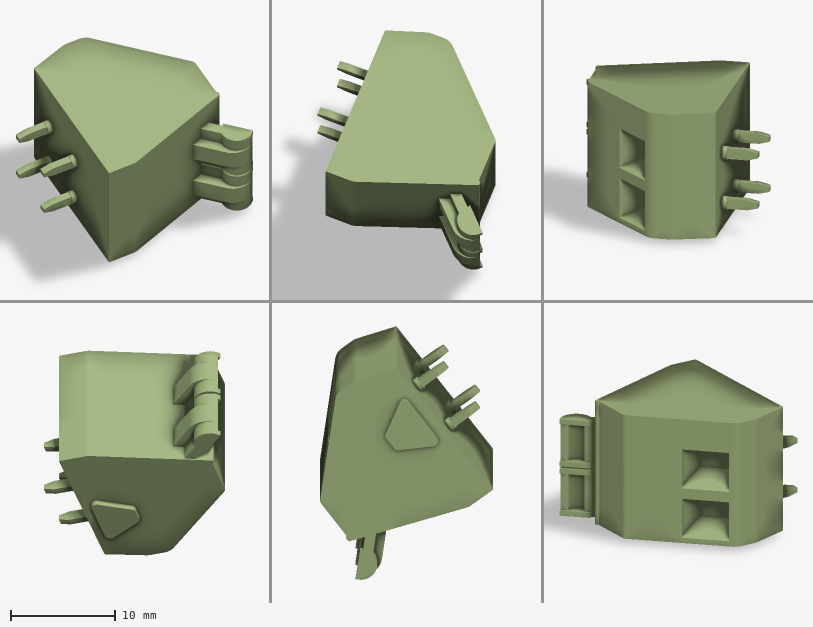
import cadquery as cq
import math


overall_length = 19.5

pitch = 5.07
upper_height = 7.62
terminal_center = pitch / 2

housing_width = 16.83
housing_top = 14.04
foot_inset = 1.36
left_low = 4.0
left_high = 6.2
right_low = 2.89
right_lean = math.radians(20)
bump_height = 0.2
bump_left = 12.2
large_radius = 1.5
slope_top_radius = 0.5
bump_radius = 0.2

first_pin_x = 4.65
collar_length = 0.5
collar_diameter = 1.3
pin_width = 0.75
pin_depth = 1.01
pin_tip_depth = 0.5
pin_taper = 1.01

slope_v = left_high / math.sqrt(2)

funnel_start = 5.15
funnel_length = 4.62
funnel_depth = 3.45
funnel_height = 4.0
funnel_lip = 0.53
funnel_lean = math.radians(20)
funnel_bottom_inset = 1.01
funnel_top_inset = 0.47

lever_root = 15.6
lever_end = 22.75
lever_width = 4.84
lever_top = -0.43
lever_bottom = -1.42
pad_radius = 1.56
cheek_start = 19.73
cheek_rise = 0.3
cheek_thickness = 0.5
groove_radius = 0.8
rib_bottom = -2.42
rib_radius = 1.97
rib_width = 2.03

lever_tip_y = (lever_end + lever_top + cheek_rise) / math.sqrt(2)
pin_end = overall_length - lever_tip_y

key_height = 0.5
key_center_x = 7.02
key_front = 1.05
key_back = 4.97
key_front_width = 6.32
key_side_angle = math.radians(60)
key_radius = 0.53


def tilted_plane(z):
    """Plane at height z with local axes u and v."""
    return cq.Workplane(cq.Plane(origin=(0, 0, z), xDir=(1, 1, 0), normal=(0, 0, 1)))


def right_wall_x(y):
    """X of the leaning right wall at a given Y."""
    return housing_width - (y - right_low) * math.tan(right_lean)


def round_upright_edges(solid, rounded_corners, z):
    """Fillet the upright edge at each (x, y) corner, z being half way up the edge."""
    for (x, y), radius in rounded_corners:
        solid = solid.edges(cq.selectors.NearestToPointSelector((x, y, z))).fillet(radius)
    return solid


def make_housing(base, height):
    left_low_corner = (0, left_low)
    left_high_corner = (0, left_high)
    slope_top = (housing_top - left_high, housing_top)
    bump_top = housing_top + bump_height
    bump_left_corner = (bump_left + bump_height, bump_top)
    bump_right_corner = (right_wall_x(bump_top), bump_top)
    right_corner = (housing_width, right_low)
    outline = [
        (foot_inset, 0),
        left_low_corner,
        left_high_corner,
        slope_top,
        (bump_left, housing_top),
        bump_left_corner,
        bump_right_corner,
        right_corner,
        (housing_width, 0),
    ]
    block = cq.Workplane().workplane(offset=base).polyline(outline).close().extrude(height)
    rounded_corners = [
        (left_low_corner, large_radius),
        (left_high_corner, large_radius),
        (slope_top, slope_top_radius),
        (bump_right_corner, bump_radius),
        (right_corner, large_radius),
    ]
    return round_upright_edges(block, rounded_corners, base + height / 2)


def make_funnel(center_z):
    """Tapered wire entry, as the solid to be cut from the housing."""
    bottom_z = center_z - funnel_height / 2
    top_z = center_z + funnel_height / 2
    floor_v = slope_v - funnel_depth
    mouth_end = funnel_start + funnel_length
    floor_end = mouth_end - (funnel_depth - funnel_lip) * math.tan(funnel_lean)
    side_profile = [
        (funnel_start, slope_v),
        (mouth_end, slope_v),
        (mouth_end, slope_v - funnel_lip),
        (floor_end, floor_v),
        (funnel_start, floor_v),
    ]
    side = tilted_plane(bottom_z).polyline(side_profile).close().extrude(funnel_height)

    across = cq.Plane(origin=(0, 0, 0), xDir=(-1, 1, 0), normal=(1, 1, 0))
    taper_profile = [
        (slope_v, bottom_z),
        (slope_v, top_z),
        (floor_v, top_z - funnel_top_inset),
        (floor_v, bottom_z + funnel_bottom_inset),
    ]
    taper = cq.Workplane(across).polyline(taper_profile).close().extrude(mouth_end)
    return side.intersect(taper)


def make_lever(center_z):
    base = center_z - lever_width / 2
    pad_u = lever_end - pad_radius

    arm = (
        tilted_plane(base)
        .moveTo(lever_root, lever_bottom)
        .lineTo(pad_u, lever_bottom)
        .lineTo(pad_u, lever_top)
        .lineTo(lever_root, lever_top)
        .close()
        .extrude(lever_width)
    )
    pad = (
        tilted_plane(base)
        .moveTo(pad_u - pad_radius, lever_top)
        .threePointArc((pad_u, lever_top - pad_radius), (lever_end, lever_top))
        .close()
        .extrude(lever_width)
    )
    lever = arm.union(pad)

    groove = tilted_plane(base).center(pad_u, lever_top).circle(groove_radius).extrude(lever_width)
    lever = lever.cut(groove)

    for cheek_base in (base, base + lever_width - cheek_thickness):
        cheek = (
            tilted_plane(cheek_base)
            .moveTo(cheek_start, lever_top + cheek_rise)
            .lineTo(cheek_start, lever_top)
            .lineTo(pad_u - pad_radius, lever_top)
            .threePointArc((pad_u, lever_top - pad_radius), (lever_end, lever_top))
            .lineTo(lever_end, lever_top + cheek_rise)
            .close()
            .extrude(cheek_thickness)
        )
        lever = lever.union(cheek)

    rib_u = lever_end - rib_radius
    rib_v = rib_bottom + rib_radius
    diagonal = rib_radius / math.sqrt(2)
    rib = (
        tilted_plane(center_z - rib_width / 2)
        .moveTo(lever_root, rib_bottom)
        .lineTo(rib_u, rib_bottom)
        .threePointArc((rib_u + diagonal, rib_v - diagonal), (lever_end, rib_v))
        .lineTo(lever_root, rib_v)
        .close()
        .extrude(rib_width)
        .cut(groove)
    )
    return lever.union(rib)


def make_pin(x, center_z):
    collar = (
        cq.Workplane("XZ", origin=(x, 0, center_z)).circle(collar_diameter / 2).extrude(collar_length)
    )
    taper_start = -pin_end + pin_taper
    half_depth = pin_depth / 2
    half_tip = pin_tip_depth / 2
    blade_profile = [
        (0, -half_depth),
        (taper_start, -half_depth),
        (-pin_end, -half_tip),
        (-pin_end, half_tip),
        (taper_start, half_depth),
        (0, half_depth),
    ]
    blade = (
        cq.Workplane("YZ", origin=(x, 0, center_z))
        .polyline(blade_profile)
        .close()
        .extrude(pin_width / 2, both=True)
    )
    return collar.union(blade)


def make_key():
    half_front = key_front_width / 2
    half_back = half_front - (key_back - key_front) / math.tan(key_side_angle)
    outline = [
        (key_center_x - half_front, key_front),
        (key_center_x - half_back, key_back),
        (key_center_x + half_back, key_back),
        (key_center_x + half_front, key_front),
    ]
    key = cq.Workplane().polyline(outline).close().extrude(-key_height)
    return key.edges("|Z").fillet(key_radius)


def make_module(base, height):
    center_z = base + terminal_center
    module = make_housing(base, height)
    module = module.union(make_lever(center_z))
    module = module.cut(make_funnel(center_z))
    for index in range(2):
        module = module.union(make_pin(first_pin_x + index * pitch, center_z))
    return module


lower_module = make_module(0, pitch).union(make_key())
upper_module = make_module(pitch, upper_height)

result = cq.Compound.makeCompound([lower_module.val(), upper_module.val()])